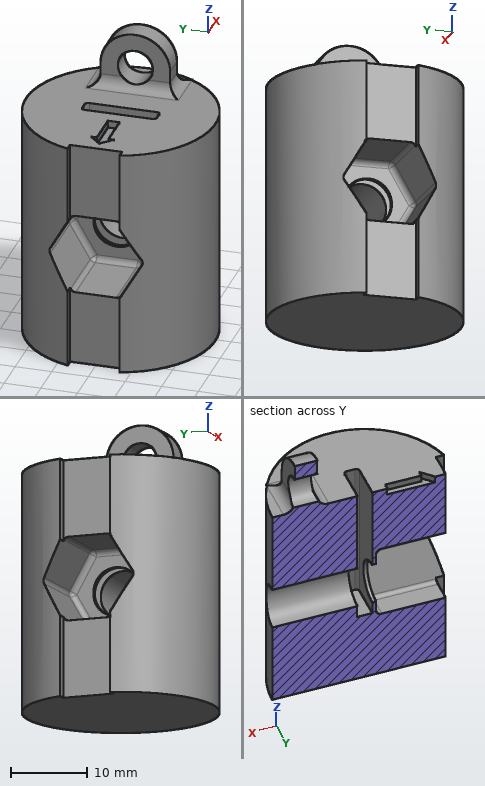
import cadquery as cq
import math

body_radius = 12.95
body_height = 31.75

keyway_width = 7.05
keyway_floor_x = -11.3

bore_diameter = 6.45
bore_z = body_height / 2
hex_across_flats = 11.2
hex_edge_radius = 0.8
hex_floor_x = -1.6

slot_thickness = 2.05
slot_width = 10.15
slot_corner_radius = 0.48
slot_depth = bore_z + slot_width / 2

arrow_tip_x = -9.8
arrow_tail_x = -3.18
arrow_head_length = 1.6
arrow_head_half_width = 1.55
arrow_shaft_half_width = 0.8
arrow_depth = 1.0

lug_center_x = 8.2
lug_thickness = 3.18
lug_width = 9.53
lug_height = 7.95
lug_hole_diameter = 4.75
lug_flare_radius = 1.6
lug_hole_z = body_height + lug_height - lug_width / 2


def make_body():
    body = cq.Workplane("XY").circle(body_radius).extrude(body_height)
    keyway = cq.Workplane("XY").box(
        body_radius, keyway_width, body_height, centered=(False, True, False)
    ).translate((keyway_floor_x - body_radius, 0, 0))
    return body.cut(keyway)


def make_hex_pocket():
    """Hexagonal prism with two corners on Y and rounded side and floor edges."""
    across_corners = hex_across_flats / math.cos(math.pi / 6)
    return (
        cq.Workplane("YZ", origin=(-body_radius, 0, bore_z))
        .polygon(6, across_corners)
        .extrude(hex_floor_x + body_radius)
        .edges("|X or >X")
        .fillet(hex_edge_radius)
    )


def make_bore():
    return (
        cq.Workplane("YZ", origin=(-body_radius, 0, bore_z))
        .circle(bore_diameter / 2)
        .extrude(2 * body_radius)
    )


def make_slot():
    return (
        cq.Workplane("XY", origin=(0, 0, body_height))
        .rect(slot_thickness, slot_width)
        .extrude(-slot_depth)
        .edges("|Z")
        .fillet(slot_corner_radius)
    )


def make_arrow():
    head_back_x = arrow_tip_x + arrow_head_length
    return (
        cq.Workplane("XY", origin=(0, 0, body_height))
        .moveTo(arrow_tip_x, 0)
        .lineTo(head_back_x, arrow_head_half_width)
        .lineTo(head_back_x, arrow_shaft_half_width)
        .lineTo(arrow_tail_x, arrow_shaft_half_width)
        .lineTo(arrow_tail_x, -arrow_shaft_half_width)
        .lineTo(head_back_x, -arrow_shaft_half_width)
        .lineTo(head_back_x, -arrow_head_half_width)
        .close()
        .extrude(-arrow_depth)
    )


def make_flare_prism(plane, width, length):
    """Prism whose flanks spread out at the foot in concave quarter circles."""
    half = width / 2
    foot = half + lug_flare_radius
    flare_mid = lug_flare_radius * (1 - math.sqrt(0.5))
    return (
        cq.Workplane(plane, origin=(lug_center_x, 0, body_height))
        .moveTo(-foot, 0)
        .threePointArc((-half - flare_mid, flare_mid), (-half, lug_flare_radius))
        .lineTo(half, lug_flare_radius)
        .threePointArc((half + flare_mid, flare_mid), (foot, 0))
        .close()
        .extrude(length / 2, both=True)
    )


def make_lug():
    """Round-topped plate on a flared foot with mitred corners."""
    foot_length_x = lug_thickness + 2 * lug_flare_radius
    foot_length_y = lug_width + 2 * lug_flare_radius
    foot = make_flare_prism("XZ", lug_thickness, foot_length_y).intersect(
        make_flare_prism("YZ", lug_width, foot_length_x)
    )
    plate = (
        cq.Workplane("YZ", origin=(lug_center_x, 0, 0))
        .moveTo(-lug_width / 2, body_height)
        .lineTo(-lug_width / 2, lug_hole_z)
        .threePointArc((0, body_height + lug_height), (lug_width / 2, lug_hole_z))
        .lineTo(lug_width / 2, body_height)
        .close()
        .extrude(lug_thickness / 2, both=True)
    )
    hole = (
        cq.Workplane("YZ", origin=(lug_center_x, 0, lug_hole_z))
        .circle(lug_hole_diameter / 2)
        .extrude(foot_length_x / 2, both=True)
    )
    return plate.union(foot).cut(hole)


result = (
    make_body()
    .union(make_lug())
    .cut(make_hex_pocket())
    .cut(make_bore())
    .cut(make_slot())
    .cut(make_arrow())
)